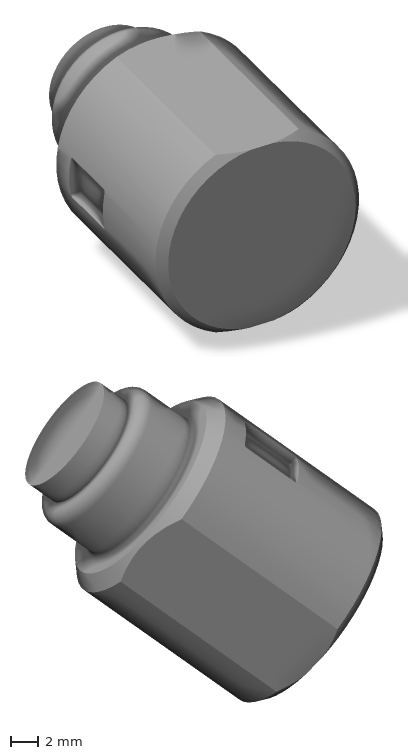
import cadquery as cq

total_length = 23.6
collar_start = 2.27
body_start = 7.17

stub_radius = 4.5
collar_radius = 5.95
collar_rounding = 0.95
body_radius = 8.5
neck_fillet = 0.3
front_chamfer = 1.0
rear_chamfer = 0.68

across_flats = 15.5

recess_start = 10.1
recess_length = 5.0
recess_height = 3.45
recess_depth = 0.8
recess_fillet = 0.2


def make_turned_body():
    """Revolve the stepped stub, collar and body about the X axis."""
    profile = (
        cq.Workplane("XY")
        .moveTo(0, 0)
        .lineTo(0, stub_radius)
        .lineTo(collar_start, stub_radius)
        .lineTo(collar_start, collar_radius - collar_rounding)
        .radiusArc((collar_start + collar_rounding, collar_radius), collar_rounding)
        .lineTo(body_start - neck_fillet, collar_radius)
        .radiusArc((body_start, collar_radius + neck_fillet), -neck_fillet)
        .lineTo(body_start, body_radius - front_chamfer)
        .lineTo(body_start + front_chamfer, body_radius)
        .lineTo(total_length - rear_chamfer, body_radius)
        .lineTo(total_length, body_radius - rear_chamfer)
        .lineTo(total_length, 0)
        .close()
    )
    return profile.revolve(360, (0, 0, 0), (1, 0, 0))


def make_flats_envelope():
    """Slab whose top and bottom faces are the wrench flats."""
    return cq.Workplane("XY").box(
        total_length, 2 * body_radius, across_flats, centered=(False, True, True)
    )


def make_recess_cutter():
    """Rounded block with a curved inner face that forms the recess floor."""
    floor_radius = body_radius - recess_depth
    block = (
        cq.Workplane("XZ")
        .center(recess_start + recess_length / 2, 0)
        .rect(recess_length, recess_height)
        .extrude(body_radius + recess_depth)
        .edges("|Y")
        .fillet(recess_fillet)
    )
    core = cq.Workplane("YZ").circle(floor_radius).extrude(total_length)
    return block.cut(core).faces(">Y").edges().fillet(recess_fillet)


result = make_turned_body().intersect(make_flats_envelope()).cut(make_recess_cutter())